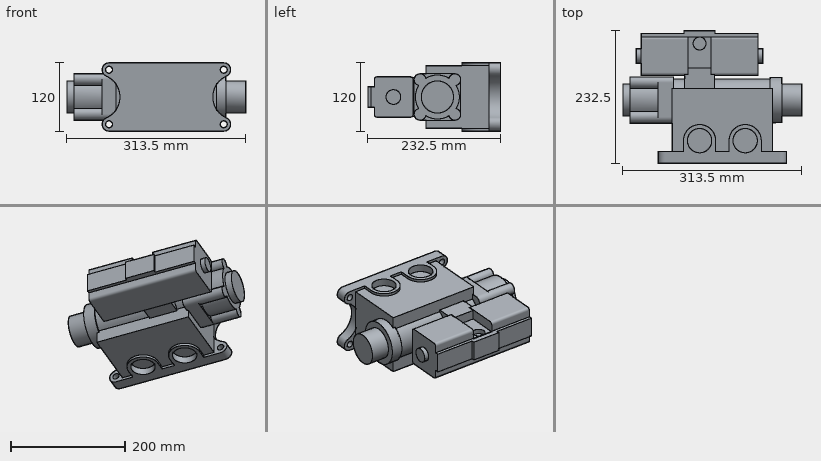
import cadquery as cq
import math


plate_height = 120.0
plate_thickness = 21.0
bolt_spacing_x = 201.0
ear_radius = 12.2
bolt_spacing_z = plate_height - 2 * ear_radius
bolt_hole_diameter = 11.5
waist = 162.7

body_length = 176.0
body_top = 131.0
body_depth = 110.5
port_spacing = 80.0
port_y = 39.8
pad_radius = 28.2
port_radius = 21.3
port_depth = 13.5

spool_y = 111.0
spool_radius = 37.0
cap_radius = 28.2
left_cap_start = -174.3
cover_start = -162.0
flange_start = -112.5
cover_end = -85.5
cover_size = 81.5
cover_corner_radius = 10.5
cover_barrel_radius = 38.5
collar_start = 83.7
collar_end = 104.5
collar_radius = 39.8
overall_length = 313.5
right_cap_end = left_cap_start + overall_length

pilot_x = -port_spacing / 2
pilot_length = 205.0
pilot_bottom = 153.5
pilot_top = 221.5
pilot_depth = 71.2
pilot_edge_radius = 5.0
rib_top = 227.5
rib_depth = 36.5
tab_top = 232.5
tab_length = 55.0
plunger_y = 188.0
plunger_radius = 13.0
plunger_length = 8.5
neck_length = 52.5
neck_depth = 69.0
neck_top = 167.0
slot_length = 40.0
slot_floor_z = 17.0
socket_y = 210.0
socket_radius = 11.3
socket_depth = 8.8


def box(x_start, x_end, y_start, y_end, depth):
    """Block between two X and two Y positions, centred on Z = 0."""
    size = (x_end - x_start, y_end - y_start, depth)
    centre = ((x_start + x_end) / 2, (y_start + y_end) / 2, 0)
    return cq.Workplane("XY").box(*size).translate(centre)


def centred_box(x_centre, length, y_start, y_end, depth):
    """Block centred on the given X position and on Z = 0."""
    return box(x_centre - length / 2, x_centre + length / 2, y_start, y_end, depth)


def cylinder_x(x_start, x_end, y, radius, z=0):
    """Cylinder along X."""
    return cq.Workplane("YZ", origin=(x_start, y, z)).circle(radius).extrude(x_end - x_start)


def mounting_plate():
    """Plate with four round ears joined at each end by a tangent hollow arc."""
    ear_x = bolt_spacing_x / 2
    ear_z = bolt_spacing_z / 2
    ear_inset = ear_x - waist / 2
    hollow_radius = (ear_inset**2 + ear_z**2 - ear_radius**2) / (2 * (ear_radius + ear_inset))
    hollow_x = waist / 2 + hollow_radius
    reach = ear_radius / (ear_radius + hollow_radius)
    tangent_x = ear_x + reach * (hollow_x - ear_x)
    tangent_z = ear_z * (1 - reach)
    middle_angle = (math.pi / 2 + math.atan2(tangent_z - ear_z, tangent_x - ear_x)) / 2
    middle_x = ear_x + ear_radius * math.cos(middle_angle)
    middle_z = ear_z + ear_radius * math.sin(middle_angle)

    edge_z = plate_height / 2
    outline = (
        cq.Workplane("XZ")
        .moveTo(-ear_x, edge_z)
        .lineTo(ear_x, edge_z)
        .threePointArc((middle_x, middle_z), (tangent_x, tangent_z))
        .threePointArc((waist / 2, 0), (tangent_x, -tangent_z))
        .threePointArc((middle_x, -middle_z), (ear_x, -edge_z))
        .lineTo(-ear_x, -edge_z)
        .threePointArc((-middle_x, -middle_z), (-tangent_x, -tangent_z))
        .threePointArc((-waist / 2, 0), (-tangent_x, tangent_z))
        .threePointArc((-middle_x, middle_z), (-ear_x, edge_z))
        .close()
    )
    plate = outline.extrude(-plate_thickness)
    holes = (
        cq.Workplane("XZ")
        .rect(bolt_spacing_x, bolt_spacing_z, forConstruction=True)
        .vertices()
        .circle(bolt_hole_diameter / 2)
        .extrude(-plate_thickness)
    )
    return plate.cut(holes)


def port_pads():
    """Arched pads, flush with the plate edges on both Z faces."""
    pads = cq.Workplane("XY")
    for x in (-port_spacing / 2, port_spacing / 2):
        foot = centred_box(x, 2 * pad_radius, 0, port_y, plate_height)
        arch = (
            cq.Workplane("XY", origin=(x, port_y, -plate_height / 2))
            .circle(pad_radius)
            .extrude(plate_height)
        )
        pads = pads.add(foot.union(arch))
    return pads.combine()


def ports():
    """Blind ports sunk into the pads from both Z faces."""
    sockets = cq.Workplane("XY")
    for x in (-port_spacing / 2, port_spacing / 2):
        for bottom_z in (plate_height / 2 - port_depth, -plate_height / 2):
            port = cq.Workplane("XY", origin=(x, port_y, bottom_z))
            sockets = sockets.add(port.circle(port_radius).extrude(port_depth))
    return sockets.combine()


def spool_housing():
    """Round housing through the body: four-lobed cover at the left, collar at the right."""
    housing = cylinder_x(left_cap_start, right_cap_end, spool_y, cap_radius)
    housing = housing.union(cylinder_x(cover_end, collar_start, spool_y, spool_radius))
    housing = housing.union(cylinder_x(collar_start, collar_end, spool_y, collar_radius))
    housing = housing.union(cylinder_x(cover_start, cover_end, spool_y, cover_barrel_radius))
    flange = box(
        flange_start,
        cover_end,
        spool_y - cover_size / 2,
        spool_y + cover_size / 2,
        cover_size,
    )
    housing = housing.union(flange.edges("|X").fillet(cover_corner_radius))
    lobe_offset = cover_size / 2 - cover_corner_radius
    for y in (spool_y - lobe_offset, spool_y + lobe_offset):
        for z in (-lobe_offset, lobe_offset):
            housing = housing.union(cylinder_x(cover_start, flange_start, y, cover_corner_radius, z))
    return housing


def pilot_valve():
    """Pilot block on a neck, with a plunger at each end and a connector slot in its +Z face."""
    pilot = centred_box(pilot_x, pilot_length, pilot_bottom, pilot_top, pilot_depth)
    pilot = pilot.edges("|X").fillet(pilot_edge_radius)
    slot = centred_box(pilot_x, slot_length, pilot_bottom, pilot_top, pilot_depth)
    pilot = pilot.cut(slot.translate((0, 0, slot_floor_z + pilot_depth / 2)))
    socket = (
        cq.Workplane("XY", origin=(pilot_x, socket_y, slot_floor_z))
        .circle(socket_radius)
        .extrude(-socket_depth)
    )
    pilot = pilot.cut(socket)
    pilot = pilot.union(centred_box(pilot_x, neck_length, spool_y, neck_top, neck_depth))
    pilot = pilot.union(centred_box(pilot_x, pilot_length, pilot_top, rib_top, rib_depth))
    pilot = pilot.union(centred_box(pilot_x, tab_length, rib_top, tab_top, rib_depth))
    left_end = pilot_x - pilot_length / 2
    right_end = pilot_x + pilot_length / 2
    for start in (left_end - plunger_length, right_end):
        pilot = pilot.union(cylinder_x(start, start + plunger_length, plunger_y, plunger_radius))
    return pilot


body = centred_box(0, body_length, plate_thickness, body_top, body_depth)
result = (
    mounting_plate()
    .union(body)
    .union(port_pads())
    .cut(ports())
    .union(spool_housing())
    .union(pilot_valve())
)